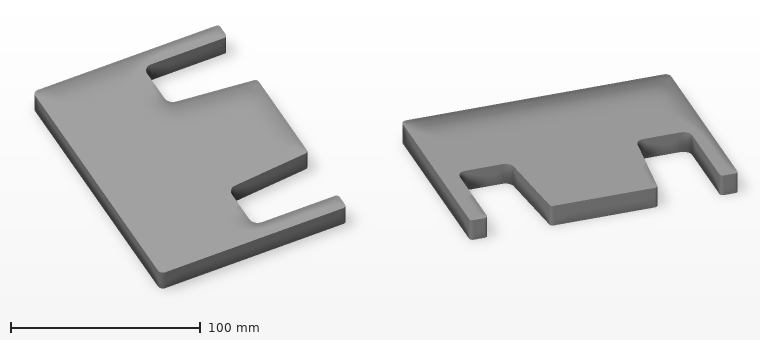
import cadquery as cq

width = 150.0
depth = 110.0
thickness = 12.0

prong_width = 10.0
slot_depth = 50.0
tongue_tip_width = 60.0
tongue_root_width = 70.0

outer_radius = 3.0
tip_radius = 2.0
slot_radius = 5.0

back = depth / 2
slot_floor = back - slot_depth
prong_inner = width / 2 - prong_width
tolerance = 0.2


def slot_cutter(side):
    """Slot between the tongue and the prong on one side (-1 left, +1 right)."""
    corners = [
        (side * prong_inner, back),
        (side * prong_inner, slot_floor),
        (side * tongue_root_width / 2, slot_floor),
        (side * tongue_tip_width / 2, back),
    ]
    return cq.Workplane("XY").polyline(corners).close().extrude(thickness)


def edges_between(body, y_low, y_high):
    """Vertical edges whose Y position lies within the given band."""
    reach = width
    band = cq.selectors.BoxSelector((-reach, y_low, -reach), (reach, y_high, reach))
    return body.edges("|Z").edges(band)


plate = cq.Workplane("XY").box(width, depth, thickness, centered=(True, True, False))
for side in (-1, 1):
    plate = plate.cut(slot_cutter(side))

plate = edges_between(plate, -back - tolerance, -back + tolerance).fillet(outer_radius)
plate = edges_between(plate, slot_floor - tolerance, slot_floor + tolerance).fillet(slot_radius)
plate = edges_between(plate, back - tolerance, back + tolerance).fillet(tip_radius)

result = plate